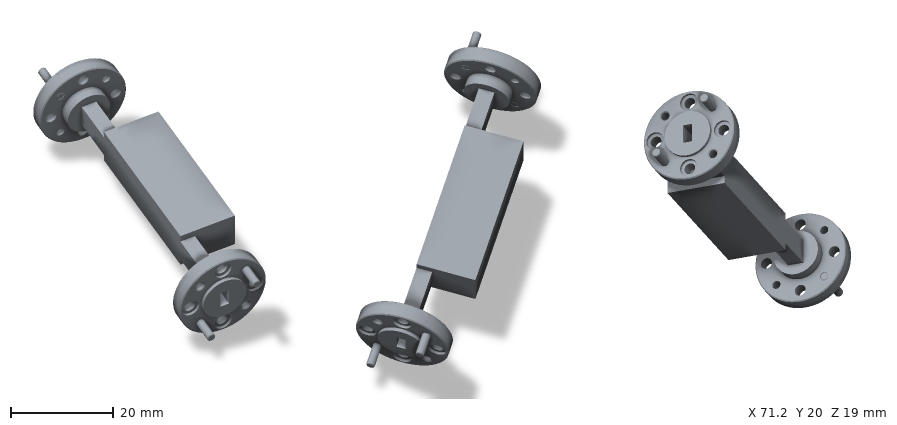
import cadquery as cq
import math

flange_face_x = 30.9
flange_diameter = 19.0
flange_thickness = 3.2
flange_chamfer = 0.2
boss_diameter = 9.55
boss_height = 0.7
collar_diameter = 9.3
collar_length = 2.35

bolt_circle_radius = 7.1
screw_angles = (0, 90, 180, 270)
screw_hole_diameter = 2.3
counterbore_diameter = 3.6
counterbore_depth = 0.6
pin_hole_diameter = 1.7
countersink_width = 0.2

tube_width = 3.2
tube_height = 5.0
bore_width = 1.85
bore_height = 3.8
block_length = 32.05
block_width = 12.05
block_height = 8.0

pin_projection = 4.7
short_pin_reduction = 0.1
pin_chamfer = 0.15
rising_diagonal = (45, 225)
falling_diagonal = (135, 315)
short_pin_angle = 45

flange_back_x = flange_face_x - flange_thickness
collar_end_x = flange_back_x - collar_length
boss_face_x = flange_face_x + boss_height


def x_cylinder(diameter, x_start, x_end, angle=None):
    """Cylinder along X, on the flange axis or at an angle from +Y toward +Z on the bolt circle."""
    y, z = 0, 0
    if angle is not None:
        y = bolt_circle_radius * math.cos(math.radians(angle))
        z = bolt_circle_radius * math.sin(math.radians(angle))
    return cq.Workplane("YZ", origin=(x_start, y, z)).circle(diameter / 2).extrude(x_end - x_start)


def screw_hole(angle):
    """Through hole with a shallow counterbore in the flange face."""
    counterbore_floor_x = flange_face_x - counterbore_depth
    hole = x_cylinder(screw_hole_diameter, flange_back_x, flange_face_x, angle)
    counterbore = x_cylinder(counterbore_diameter, counterbore_floor_x, flange_face_x, angle)
    return hole.union(counterbore)


def pin_hole(angle):
    """Plain through hole that a pin fills."""
    return x_cylinder(pin_hole_diameter, flange_back_x, flange_face_x, angle)


def mating_hole(angle):
    """Open hole for the pin of a mating flange, countersunk at the flange face."""
    mouth = pin_hole(angle).faces(">X").workplane().circle(pin_hole_diameter / 2 + countersink_width)
    countersink = mouth.extrude(-countersink_width, combine=False, taper=45)
    return pin_hole(angle).union(countersink)


def make_flange(pin_angles, mating_angles):
    """Flange at the +X end, facing +X, with its boss and collar."""
    flange = x_cylinder(flange_diameter, flange_back_x, flange_face_x).edges().chamfer(flange_chamfer)
    flange = flange.union(x_cylinder(boss_diameter, flange_face_x, boss_face_x))
    flange = flange.union(x_cylinder(collar_diameter, collar_end_x, flange_back_x))
    for angle in screw_angles:
        flange = flange.cut(screw_hole(angle))
    for angle in pin_angles:
        flange = flange.cut(pin_hole(angle))
    for angle in mating_angles:
        flange = flange.cut(mating_hole(angle))
    return flange


def make_housing():
    """Two flanges joined by the tube, with the block flush with the tube on the -Y side."""
    tube = cq.Workplane("XY").box(2 * collar_end_x, tube_width, tube_height)
    block_center_y = (block_width - tube_width) / 2
    block = cq.Workplane("XY", origin=(0, block_center_y, 0)).box(block_length, block_width, block_height)
    right_flange = make_flange(rising_diagonal, falling_diagonal)
    left_flange = make_flange(falling_diagonal, rising_diagonal).mirror("YZ")
    bore = cq.Workplane("XY").box(2 * boss_face_x, bore_width, bore_height)
    return tube.union(block).union(right_flange).union(left_flange).cut(bore)


def make_pin(angle, reduction=0):
    """Pin at the +X end, from the back of the flange to its tip, chamfered at both ends."""
    tip_x = flange_face_x + pin_projection - reduction
    pin = x_cylinder(pin_hole_diameter, flange_back_x, tip_x, angle)
    return pin.edges("%CIRCLE").chamfer(pin_chamfer)


housing = make_housing()

pins = []
for angle in rising_diagonal:
    reduction = short_pin_reduction if angle == short_pin_angle else 0
    pins.append(make_pin(angle, reduction))
for angle in falling_diagonal:
    pins.append(make_pin(angle).mirror("YZ"))

result = cq.Compound.makeCompound([housing.solids().val(), *[pin.solids().val() for pin in pins]])